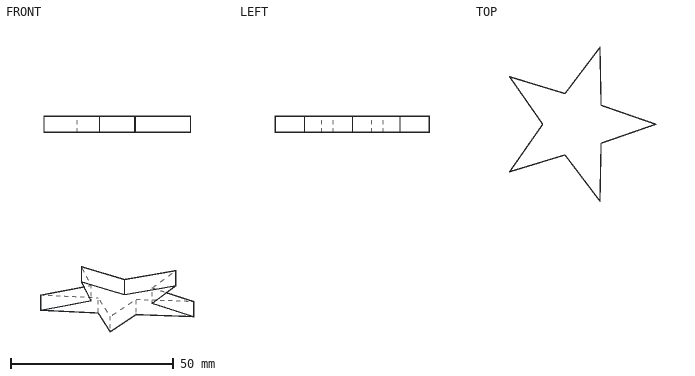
import cadquery as cq
import math

point_count = 5
star_width = 47.55
thickness = 5.0
inner_radius = 10.0

half_pitch = 180.0 / point_count
outer_radius = star_width / (2 * math.sin(math.radians(2 * half_pitch)))


def polar_point(radius, angle):
    """Point at a radius and an angle in degrees from +X."""
    return (radius * math.cos(math.radians(angle)), radius * math.sin(math.radians(angle)))


outline = []
for index in range(point_count):
    tip_angle = 2 * half_pitch * index
    outline.append(polar_point(outer_radius, tip_angle))
    outline.append(polar_point(inner_radius, tip_angle + half_pitch))

result = cq.Workplane("XY").polyline(outline).close().extrude(thickness)